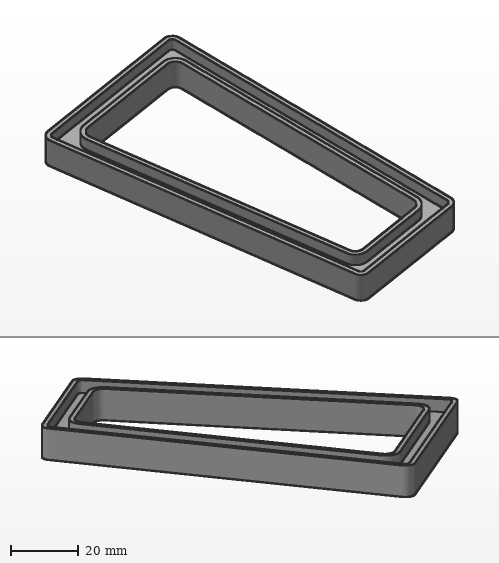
import cadquery as cq

length = 116.0
height = 10.0
wide_end_width = 62.2
narrow_end_width = 45.2
corner_radius = 3.0

outer_wall = 1.6
channel_width = 5.0
inner_wall = 1.6
channel_depth = 4.1
opening_radius = 3.0

channel_inset = outer_wall
inner_wall_inset = channel_inset + channel_width
opening_inset = inner_wall_inset + inner_wall


def tapered_block(inset, radius, bottom, top):
    """Rounded trapezoid, inset evenly from the sharp outer outline."""
    outline = cq.Workplane("XY").workplane(offset=bottom).polyline([
        (-length / 2, -wide_end_width / 2),
        (length / 2, -narrow_end_width / 2),
        (length / 2, narrow_end_width / 2),
        (-length / 2, wide_end_width / 2),
    ]).close()
    if inset > 0:
        outline = outline.offset2D(-inset)
    return outline.extrude(top - bottom).edges("|Z").fillet(radius)


channel_floor = height - channel_depth

body = tapered_block(0, corner_radius, 0, height)

channel = tapered_block(channel_inset, corner_radius - outer_wall, channel_floor, height)
inner_wall_block = tapered_block(
    inner_wall_inset, opening_radius + inner_wall, channel_floor, height
)

opening = tapered_block(opening_inset, opening_radius, 0, height)

result = body.cut(channel.cut(inner_wall_block)).cut(opening)